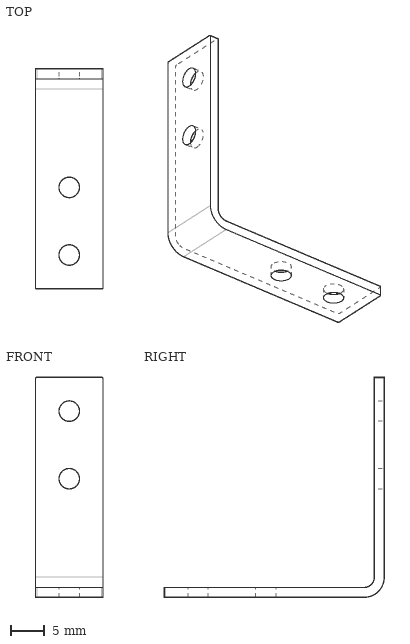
import cadquery as cq

leg_length = 32.55
width = 10.0
thickness = 1.5
inner_bend_radius = 1.5
corner_radius = 0.2
hole_diameter = 3.0
hole_end_distance = 5.0
hole_spacing = 10.0

outer_bend_radius = inner_bend_radius + thickness
half_leg = leg_length / 2
hole_distances = [hole_end_distance, hole_end_distance + hole_spacing]


def bent_strip():
    """Strip with one upright leg at +Y and one flat leg at -Z."""
    strip = (
        cq.Workplane("YZ")
        .moveTo(-half_leg, -half_leg)
        .lineTo(half_leg, -half_leg)
        .lineTo(half_leg, half_leg)
        .lineTo(half_leg - thickness, half_leg)
        .lineTo(half_leg - thickness, -half_leg + thickness)
        .lineTo(-half_leg, -half_leg + thickness)
        .close()
        .extrude(width / 2, both=True)
    )
    strip = strip.edges("|X and >Y and <Z").fillet(outer_bend_radius)
    inner_corner = cq.selectors.NearestToPointSelector(
        (0, half_leg - thickness, -half_leg + thickness)
    )
    return strip.edges("|X").edges(inner_corner).fillet(inner_bend_radius)


def round_leg_ends(strip):
    """Round the two width-wise corners at the free end of each leg."""
    strip = strip.faces(">Z").edges("|Y").fillet(corner_radius)
    return strip.faces("<Y").edges("|Z").fillet(corner_radius)


def drill_holes(strip):
    """Drill two through holes in each leg, measured from its free end."""
    hole_radius = hole_diameter / 2
    along_y = cq.Vector(0, 1, 0)
    along_z = cq.Vector(0, 0, 1)
    for distance in hole_distances:
        upright_start = cq.Vector(0, half_leg - thickness, half_leg - distance)
        flat_start = cq.Vector(0, distance - half_leg, -half_leg)
        strip = strip.cut(cq.Solid.makeCylinder(hole_radius, thickness, upright_start, along_y))
        strip = strip.cut(cq.Solid.makeCylinder(hole_radius, thickness, flat_start, along_z))
    return strip


result = drill_holes(round_leg_ends(bent_strip()))